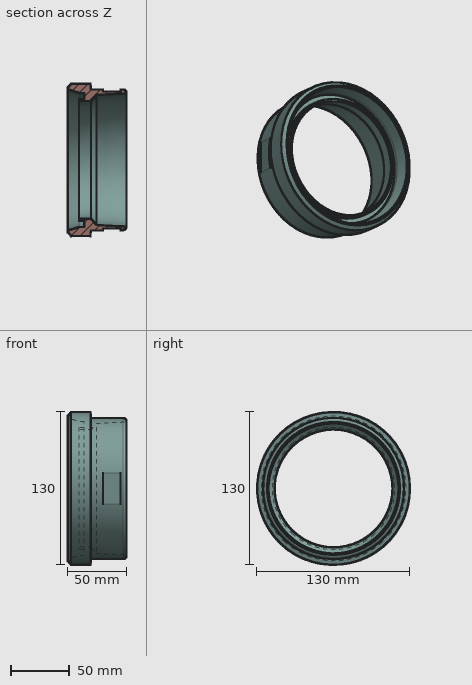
import cadquery as cq

length = 50.0
collar_radius = 130 / 2
body_radius = 120.0 / 2

rim_chamfer_length = 3.0
rim_chamfer_height = 3.5
collar_end = 19.4
shoulder_end = 20.0
end_fillet = 3.0

front_mouth_radius = 120.0 / 2
groove_outer_radius = 113.8 / 2
sleeve_outer_radius = 104 / 2
bore_radius = 100.0 / 2
front_taper_depth = 10.0
sleeve_start = 9.5
groove_bottom = 14.0

bore_end = 20.0
socket_start = 24.5
socket_inner_radius = 110.4 / 2
socket_mouth_radius = 113.0 / 2

flat_start = 30.0
flat_end = 45.0
flat_distance = 58.5


def make_ring():
    """Revolve the wall section, drawn as (X, radius), around the X axis."""
    section = (
        cq.Workplane("XY")
        .moveTo(0, front_mouth_radius)
        .lineTo(0, collar_radius - rim_chamfer_height)
        .lineTo(rim_chamfer_length, collar_radius)
        .lineTo(collar_end, collar_radius)
        .lineTo(shoulder_end, body_radius)
        .lineTo(length - end_fillet, body_radius)
        .radiusArc((length, body_radius - end_fillet), end_fillet)
        .lineTo(length, socket_mouth_radius)
        .lineTo(socket_start, socket_inner_radius)
        .lineTo(bore_end, bore_radius)
        .lineTo(sleeve_start, bore_radius)
        .lineTo(sleeve_start, sleeve_outer_radius)
        .lineTo(groove_bottom, sleeve_outer_radius)
        .lineTo(groove_bottom, groove_outer_radius)
        .lineTo(front_taper_depth, groove_outer_radius)
        .close()
    )
    return section.revolve(360, (0, 0, 0), (1, 0, 0))


def make_flat_cutter(side):
    """Block that removes the body beyond one flat; side is -1 or +1 along Y."""
    cut_depth = body_radius - flat_distance
    center_x = (flat_start + flat_end) / 2
    center_y = side * (flat_distance + cut_depth / 2)
    return (
        cq.Workplane("XY")
        .box(flat_end - flat_start, cut_depth, 2 * body_radius)
        .translate((center_x, center_y, 0))
    )


result = make_ring()
for side in (-1, 1):
    result = result.cut(make_flat_cutter(side))